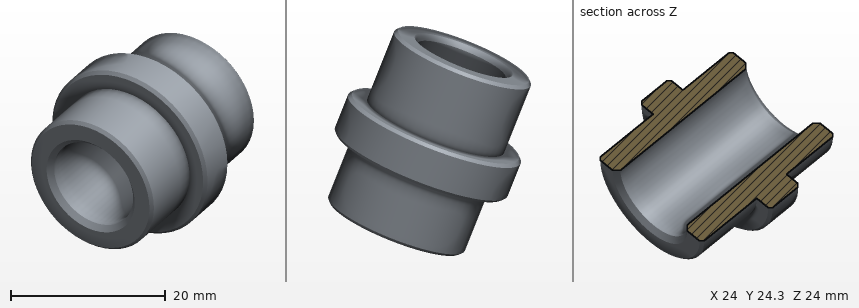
import cadquery as cq

total_length = 24.3
front_length = 8.8
flange_width = 5.5
body_diameter = 19.0
flange_diameter = 24.0
bore_diameter = 12.2
edge_chamfer = 0.41
bore_chamfer = 0.7


def cylinder(diameter, start, length):
    """Solid cylinder along +Y, beginning at Y = start."""
    plane = cq.Plane(origin=(0, start, 0), xDir=(1, 0, 0), normal=(0, 1, 0))
    return cq.Workplane(plane).circle(diameter / 2).extrude(length)


body = cylinder(body_diameter, 0, total_length).edges("%CIRCLE").chamfer(edge_chamfer)
flange = cylinder(flange_diameter, front_length, flange_width).edges("%CIRCLE").chamfer(edge_chamfer)

bore = cylinder(bore_diameter, 0, total_length)
result = body.union(flange).cut(bore)
bore_mouths = cq.selectors.RadiusNthSelector(0)
result = result.faces("<Y or >Y").edges(bore_mouths).chamfer(bore_chamfer)